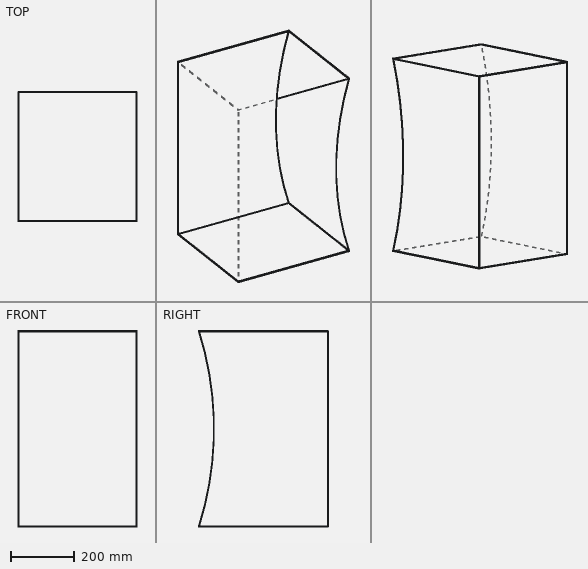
import cadquery as cq
import math

width = 375.0
depth = 410.16
height = 620.0

wall = 2.0
back_chamfer = wall
front_arc_radius = 1027.5

half_height = height / 2
front_y = -depth / 2
back_y = depth / 2
front_arc_depth = front_arc_radius - math.sqrt(front_arc_radius**2 - half_height**2)


def outer_body():
    """Solid block with a concave front and a chamfered rim around its back face."""
    block = (
        cq.Workplane("YZ")
        .moveTo(back_y, -half_height)
        .lineTo(front_y, -half_height)
        .threePointArc((front_y + front_arc_depth, 0), (front_y, half_height))
        .lineTo(back_y, half_height)
        .close()
        .extrude(width / 2, both=True)
    )
    return block.faces(">Y").edges().chamfer(back_chamfer)


def inner_space():
    """Cavity open at the front, leaving side, top, bottom and back walls."""
    cavity = cq.Workplane("XY").box(width - 2 * wall, depth, height - 2 * wall)
    return cavity.translate((0, -wall, 0))


result = outer_body().cut(inner_space())